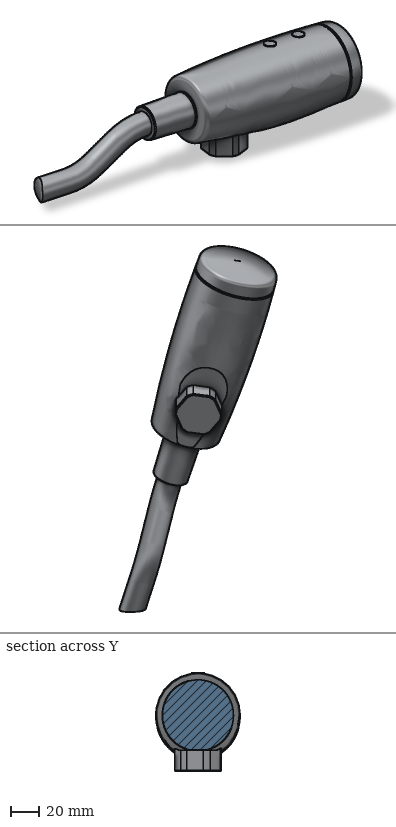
import cadquery as cq
import math

total_length = 276.0

housing_end = 141.0
housing_radius = 60.0 / 2
widest_at = 53.2
cap_radius = 28.7
cap_corner_at = 6.5
cap_face_radius = 25.7
cap_face_at = 2.8
cap_round_radius = 28.0
cap_round_at = 4.1
front_radius = 25.5
front_round = 3.3
groove_at = 13.8
groove_width = 1.0
groove_floor_radius = 28.5

belly_sections = [(21.8, 29.0, 0.0), (74.5, 29.0, 2.5), (93.8, 28.0, 2.5), (135.2, 25.0, 0.0)]
seat_drop = 24.5
scoop_start = 72.3
scoop_end = 93.8
scoop_start_drop = 31.5
scoop_sag_at = 85.5
scoop_sag_drop = 26.5

lamp_stations = (39.5, 64.8)
lamp_radius = 9.0 / 2
lamp_top = 30.3

connector_at = 106.0
connector_flats = 31.0
connector_corner_diameter = 33.0
connector_bottom = -39.7
connector_turn = 52.0
connector_chamfer = 0.8

collar_radius = 13.8
collar_width = 1.5
sleeve_end = 177.7
sleeve_rear_radius = 13.5
sleeve_front_radius = 12.7
sleeve_chamfer = 0.8

cable_radius = 18.0 / 2
cable_drop = 25.0
bend_radius = 49.0
bend_angle = math.radians(30)
cut_length = 6.3
cut_middle_x = -1.7
cut_middle_length = 5.2

overlap = 2.8


def xz_plane(station):
    """Plane across the tool axis, with its normal pointing along -Y."""
    return cq.Workplane("XZ", origin=(0, -station, 0))


def make_barrel():
    round_inset = front_round * (1 - math.sqrt(0.5))
    return (
        cq.Workplane("XY")
        .moveTo(0, 0)
        .threePointArc((cap_face_radius / 2, -cap_face_at / 4), (cap_face_radius, -cap_face_at))
        .threePointArc((cap_round_radius, -cap_round_at), (cap_radius, -cap_corner_at))
        .spline(
            [(housing_radius, -widest_at), (front_radius, -(housing_end - front_round))],
            includeCurrent=True,
        )
        .threePointArc(
            (front_radius - round_inset, -housing_end + round_inset),
            (front_radius - front_round, -housing_end),
        )
        .lineTo(0, -housing_end)
        .close()
        .revolve(360, (0, 0, 0), (0, 1, 0))
    )


def make_groove():
    ring = xz_plane(groove_at).circle(housing_radius + overlap)
    return ring.circle(groove_floor_radius).extrude(groove_width)


def make_belly():
    wires = [
        cq.Wire.makeCircle(radius, cq.Vector(0, -station, -drop), cq.Vector(0, -1, 0))
        for station, radius, drop in belly_sections
    ]
    return cq.Workplane(cq.Solid.makeLoft(wires))


def make_seat_cut():
    below = -2 * housing_radius
    return (
        cq.Workplane("YZ")
        .moveTo(-scoop_start, -scoop_start_drop)
        .threePointArc((-scoop_sag_at, -scoop_sag_drop), (-scoop_end, -seat_drop))
        .lineTo(-housing_end - overlap, -seat_drop)
        .lineTo(-housing_end - overlap, below)
        .lineTo(-scoop_start, below)
        .close()
        .extrude(2 * housing_radius, both=True)
    )


def make_lamp(station):
    return cq.Workplane("XY", origin=(0, -station, 0)).circle(lamp_radius).extrude(lamp_top)


def make_connector():
    height = -seat_drop + overlap - connector_bottom
    base = cq.Workplane("XY", origin=(0, -connector_at, connector_bottom))
    hexagon_diameter = connector_flats / math.cos(math.pi / 6)
    hexagon = base.transformed(rotate=(0, 0, connector_turn)).polygon(6, hexagon_diameter).extrude(height)
    rounding = base.circle(connector_corner_diameter / 2).extrude(height)
    return hexagon.intersect(rounding).faces("<Z").chamfer(connector_chamfer)


def make_sleeve():
    collar = xz_plane(housing_end - overlap).circle(collar_radius).extrude(overlap + collar_width)
    sleeve = (
        xz_plane(housing_end)
        .circle(sleeve_rear_radius)
        .workplane(offset=sleeve_end - housing_end)
        .circle(sleeve_front_radius)
        .loft()
        .faces("<Y")
        .chamfer(sleeve_chamfer)
    )
    return collar.union(sleeve)


def make_cable():
    bend_length = bend_radius * math.sin(bend_angle)
    bend_drop = bend_radius * (1 - math.cos(bend_angle))
    half_length = bend_radius * math.sin(bend_angle / 2)
    half_drop = bend_radius * (1 - math.cos(bend_angle / 2))
    slope_length = (cable_drop - 2 * bend_drop) / math.tan(bend_angle)
    second_bend = sleeve_end + bend_length + slope_length
    level_again = second_bend + bend_length
    path = (
        cq.Workplane("YZ")
        .moveTo(-(sleeve_end - overlap), 0)
        .lineTo(-sleeve_end, 0)
        .threePointArc(
            (-(sleeve_end + half_length), -half_drop),
            (-(sleeve_end + bend_length), -bend_drop),
        )
        .lineTo(-second_bend, -(cable_drop - bend_drop))
        .threePointArc(
            (-(level_again - half_length), -(cable_drop - half_drop)),
            (-level_again, -cable_drop),
        )
        .lineTo(-total_length, -cable_drop)
    )
    cable = xz_plane(sleeve_end - overlap).circle(cable_radius).sweep(path)
    end_cut = (
        cq.Workplane("XY", origin=(0, -total_length, -cable_drop))
        .moveTo(-cable_radius, cut_length)
        .threePointArc((cut_middle_x, cut_middle_length), (cable_radius, 0))
        .lineTo(cable_radius, -overlap)
        .lineTo(-cable_radius - overlap, -overlap)
        .lineTo(-cable_radius - overlap, cut_length)
        .close()
        .extrude(cable_radius + overlap, both=True)
    )
    return cable.cut(end_cut)


housing = make_barrel().union(make_belly()).cut(make_seat_cut()).cut(make_groove())
for lamp_station in lamp_stations:
    housing = housing.union(make_lamp(lamp_station))

result = housing.union(make_connector()).union(make_sleeve()).union(make_cable())